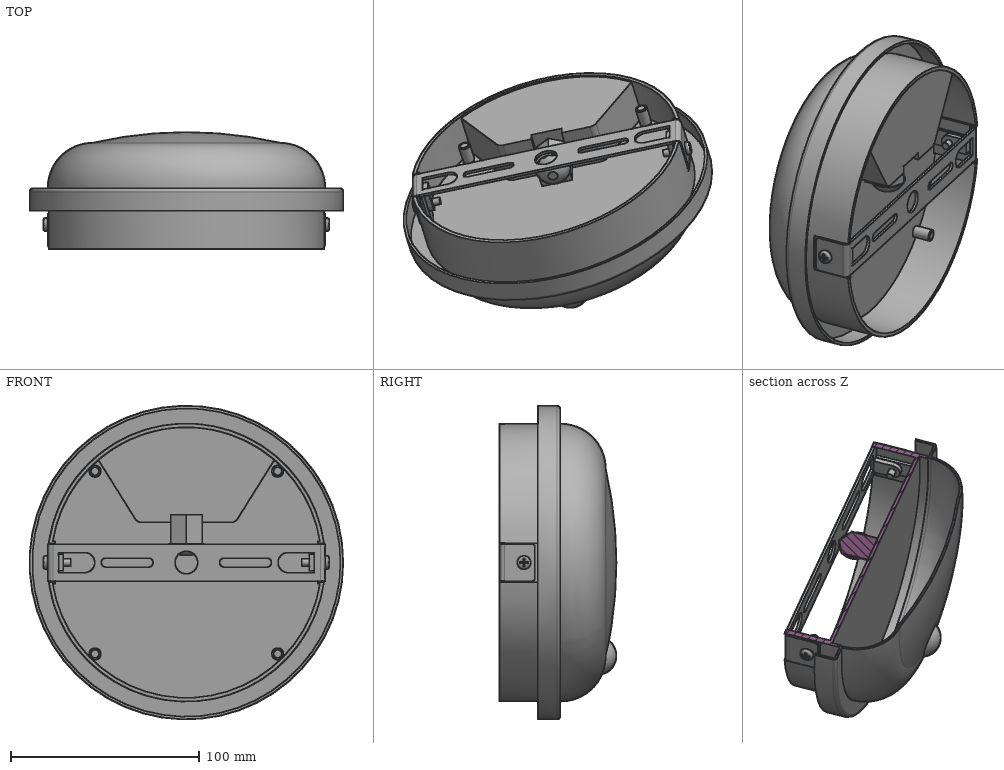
import cadquery as cq
import math


housing_diameter = 147.5
housing_bore = 143.5
floor_y = 24.3
floor_thickness = 2.0

block_front_y = 1.0
block_bottom_z = 21.3
block_bottom_half_width = 26.0
block_side_rise_ratio = 1.6
block_corner_radius = 4.0

stud_diameter = 6.2
stud_tip_diameter = 4.3
stud_chamfer_length = 0.3
stud_front_y = 14.5
stud_offset = 48.5

cover_diameter = 166.5
skirt_bore = 163.5
skirt_start_y = 20.3
flange_y = 32.3
flange_rounding = 1.8
dome_diameter = 147.5
cap_rim_y = 56.5
apex_y = 62.1
dome_shoulder_radius = cap_rim_y - flange_y
cover_thickness = (cover_diameter - skirt_bore) / 2
flange_inner_y = flange_y - cover_thickness

knob_radius = 10.2
knob_y = 52.0
knob_z = -49.5

sensor_half_width = 8.3
sensor_top_z = 25.3
sensor_bottom_z = 10
sensor_side_y = 9.8
sensor_ridge_y = 5.5
ball_radius = 9.8
ball_y = 15
ball_z = 13.3
ball_flat_z = 3.8

bracket_half_length = 73.6
bracket_width = 19.6
bracket_thickness = 1.5
bracket_arm_length = 18.8
bend_radius = 2.7
arm_corner_radius = 1.7
center_hole_diameter = 12.0
slot_width = 4.8
slot_inner_x = 17.6
slot_outer_x = 45.1
window_width = 10.7
window_inner_x = 48.6
window_outer_x = 67.8
arm_inner_x = bracket_half_length - bracket_thickness

seat_inner_x = 69.6
seat_width = 22.6
seat_slot_width = 20.6

screw_y = 13.0
screw_diameter = 3.8
screw_tip_x = 61.3
head_diameter = 7.2
head_rim_height = 0.8
head_height = 2.3
cross_length = 4.3
cross_width = 1.0
cross_depth = 1.0
clip_width = 9.3
clip_boss_width = 8.7
clip_plate_x = 68.0
clip_boss_x = 65.3


def box_between(x_range, y_range, z_range):
    """Box spanning the given (low, high) ranges."""
    corners = list(zip(x_range, y_range, z_range, strict=True))
    sizes = [high - low for low, high in (x_range, y_range, z_range)]
    return cq.Workplane("XY").box(*sizes, centered=False).translate(corners[0])


def y_cylinder(diameter, y_start, y_end):
    """Cylinder on the lamp axis."""
    return cq.Workplane("XZ", origin=(0, y_start, 0)).circle(diameter / 2).extrude(y_start - y_end)


def x_cylinder(diameter, x_start, x_end):
    """Cylinder on the screw axis of the +X side."""
    return (
        cq.Workplane("YZ", origin=(x_start, screw_y, 0))
        .circle(diameter / 2)
        .extrude(x_end - x_start)
    )


def on_side(part, side):
    """Place a part made for the +X side on the +X (1) or -X (-1) side."""
    return part if side > 0 else part.rotate((0, 0, 0), (0, 1, 0), 180)


def make_sensor():
    """Ridged prism with a ball under it that is cut flat at the bottom."""
    prism = (
        cq.Workplane("XY", origin=(0, 0, sensor_bottom_z))
        .moveTo(-sensor_half_width, floor_y)
        .lineTo(-sensor_half_width, sensor_side_y)
        .lineTo(0, sensor_ridge_y)
        .lineTo(sensor_half_width, sensor_side_y)
        .lineTo(sensor_half_width, floor_y)
        .close()
        .extrude(sensor_top_z - sensor_bottom_z)
    )
    ball_zone = box_between(
        (-ball_radius, ball_radius), (0, floor_y), (ball_flat_z, sensor_bottom_z)
    )
    ball = cq.Workplane("XY").sphere(ball_radius).translate((0, ball_y, ball_z))
    return prism.union(ball.intersect(ball_zone))


def make_block():
    """Compartment with slanted sides that fills the upper part of the housing bore."""
    top_z = housing_bore / 2
    top_half_width = block_bottom_half_width + (top_z - block_bottom_z) / block_side_rise_ratio
    block = (
        cq.Workplane("XZ", origin=(0, block_front_y, 0))
        .polyline([
            (-block_bottom_half_width, block_bottom_z),
            (block_bottom_half_width, block_bottom_z),
            (top_half_width, top_z),
            (-top_half_width, top_z),
        ])
        .close()
        .extrude(block_front_y - floor_y)
        .edges("|Y and <Z")
        .fillet(block_corner_radius)
        .intersect(y_cylinder(housing_bore, 0, floor_y))
    )
    notch = box_between(
        (-sensor_half_width, sensor_half_width), (0, floor_y), (block_bottom_z, sensor_top_z)
    )
    return block.cut(notch)


def make_stud(x, z):
    """Stud standing on the floor, with a flat chamfer at its tip."""
    radius = stud_diameter / 2
    tip_radius = stud_tip_diameter / 2
    return (
        cq.Workplane("XY")
        .polyline([
            (0, stud_front_y),
            (tip_radius, stud_front_y),
            (radius, stud_front_y + stud_chamfer_length),
            (radius, floor_y),
            (0, floor_y),
        ])
        .close()
        .revolve(360, (0, 0), (0, 1))
        .translate((x, 0, z))
    )


def make_housing():
    """Cup with a compartment, four studs and a flat seat for each bracket arm."""
    housing = y_cylinder(housing_diameter, 0, flange_inner_y)
    housing = housing.cut(y_cylinder(housing_bore, 0, floor_y))
    housing = housing.cut(y_cylinder(housing_bore, floor_y + floor_thickness, flange_inner_y))
    housing = housing.union(make_block())
    for x in (-stud_offset, stud_offset):
        for z in (-stud_offset, stud_offset):
            housing = housing.union(make_stud(x, z))

    seat_end_x = housing_diameter / 2
    seat_z = (-seat_width / 2, seat_width / 2)
    slot_z = (-seat_slot_width / 2, seat_slot_width / 2)
    seat = box_between((seat_inner_x, seat_end_x), (0, floor_y), seat_z)
    seat = seat.intersect(y_cylinder(housing_diameter, 0, floor_y))
    arm_slot = box_between((arm_inner_x, seat_end_x), (0, skirt_start_y), slot_z)
    web_slot = box_between((0, seat_end_x), (0, bend_radius), slot_z)
    screw_hole = x_cylinder(screw_diameter, seat_inner_x, seat_end_x)
    for side in (-1, 1):
        housing = housing.union(on_side(seat, side))
        for opening in (arm_slot, web_slot, screw_hole):
            housing = housing.cut(on_side(opening, side))
    return housing


def make_dome_solid(inset):
    """Solid dome lying inset from the outer dome face, standing on the back of the flange."""
    cap_rim_r = dome_diameter / 2 - dome_shoulder_radius
    shoulder = dome_shoulder_radius - inset
    shoulder_middle = shoulder * math.sqrt(0.5)

    sagitta = apex_y - cap_rim_y
    sphere_radius = (cap_rim_r**2 + sagitta**2) / (2 * sagitta)
    cap_middle_r = cap_rim_r / 2
    cap_middle_y = apex_y - inset - sphere_radius + math.sqrt(sphere_radius**2 - cap_middle_r**2)
    return (
        cq.Workplane("XY")
        .moveTo(0, flange_inner_y)
        .lineTo(cap_rim_r + shoulder, flange_inner_y)
        .lineTo(cap_rim_r + shoulder, flange_y)
        .threePointArc(
            (cap_rim_r + shoulder_middle, flange_y + shoulder_middle),
            (cap_rim_r, cap_rim_y - inset),
        )
        .threePointArc((cap_middle_r, cap_middle_y), (0, apex_y - inset))
        .close()
        .revolve(360, (0, 0), (0, 1))
    )


def make_cover(knob):
    """Thin domed cover with a flange, a skirt and a seat for the knob."""
    flange = y_cylinder(cover_diameter, skirt_start_y, flange_y).faces(">Y").edges()
    flange = flange.fillet(flange_rounding)
    skirt_space = y_cylinder(skirt_bore, skirt_start_y, flange_inner_y)
    cover = flange.cut(skirt_space).union(make_dome_solid(0))
    return cover.cut(make_dome_solid(cover_thickness)).cut(knob)


def make_knob():
    """Ball set into the dome."""
    return cq.Workplane("XY").sphere(knob_radius).translate((0, knob_y, knob_z))


def make_bracket():
    """Strip across the back of the housing with both ends bent into arms."""
    half_width = bracket_width / 2
    z_range = (-half_width, half_width)
    strip = box_between(
        (-bracket_half_length, bracket_half_length), (0, bracket_arm_length), z_range
    )
    strip = strip.edges("|Z and <Y").fillet(bend_radius)
    hollow = box_between(
        (-arm_inner_x, arm_inner_x), (bracket_thickness, bracket_arm_length), z_range
    )
    hollow = hollow.edges("|Z and <Y").fillet(bend_radius - bracket_thickness)
    bracket = strip.cut(hollow).edges("|X and >Y").fillet(arm_corner_radius)

    bracket = bracket.cut(y_cylinder(center_hole_diameter, 0, bracket_thickness))
    web = cq.Workplane("XZ")
    slot = (
        web.center((slot_inner_x + slot_outer_x) / 2, 0)
        .slot2D(slot_outer_x - slot_inner_x, slot_width)
        .extrude(-bracket_thickness)
    )
    window_radius = window_width / 2
    arc_x = window_inner_x + window_radius
    window = (
        web.moveTo(window_outer_x, window_radius)
        .lineTo(arc_x, window_radius)
        .threePointArc((window_inner_x, 0), (arc_x, -window_radius))
        .lineTo(window_outer_x, -window_radius)
        .close()
        .extrude(-bracket_thickness)
    )
    screw_hole = x_cylinder(screw_diameter, arm_inner_x, bracket_half_length)
    for side in (-1, 1):
        for opening in (slot, window, screw_hole):
            bracket = bracket.cut(on_side(opening, side))
    return bracket


def make_screw():
    """Screw with a rounded cross-slotted head, for the +X side."""
    shank = x_cylinder(screw_diameter, screw_tip_x, bracket_half_length)
    head_end_x = bracket_half_length + head_height
    head = x_cylinder(head_diameter, bracket_half_length, head_end_x)
    head = head.faces(">X").edges().fillet(head_height - head_rim_height)
    screw = shank.union(head)
    cross = cq.Workplane("YZ", origin=(head_end_x - cross_depth, screw_y, 0))
    for size in ((cross_length, cross_width), (cross_width, cross_length)):
        screw = screw.cut(cross.rect(*size).extrude(cross_depth))
    return screw


def make_clip():
    """Clip plate on the seat, with a round-ended boss around the screw, for the +X side."""
    plate_z = (-clip_width / 2, clip_width / 2)
    boss_z = (-clip_boss_width / 2, clip_boss_width / 2)
    plate = box_between((clip_plate_x, seat_inner_x), (bend_radius, floor_y), plate_z)
    boss = box_between((clip_boss_x, clip_plate_x), (bend_radius, screw_y), boss_z)
    boss_end = x_cylinder(clip_boss_width, clip_boss_x, clip_plate_x)
    clip = plate.union(boss).union(boss_end)
    return clip.cut(x_cylinder(screw_diameter, clip_boss_x, seat_inner_x))


housing = make_housing()
sensor = make_sensor()
knob = make_knob()
cover = make_cover(knob)
bracket = make_bracket()
screws = [on_side(make_screw(), side).val() for side in (-1, 1)]
clips = [on_side(make_clip(), side).val() for side in (-1, 1)]

result = cq.Compound.makeCompound(
    [housing.val(), sensor.val(), cover.val(), knob.val(), bracket.val(), *screws, *clips]
)